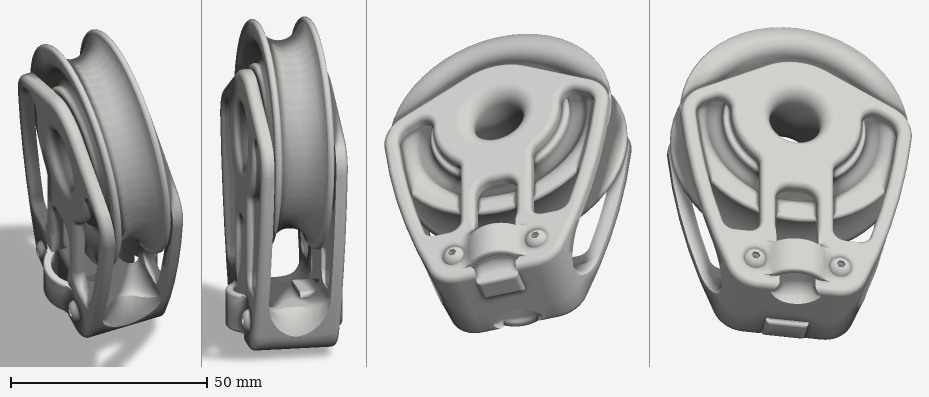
import cadquery as cq
import math

SHEAVE_RADIUS = 29.75
SHEAVE_HALF_WIDTH = 7.65
ROPE_GROOVE_RADIUS = 6.1
ROPE_GROOVE_CENTRE = 30.1
FLANGE_HALF_GAP = 5.9
FLANGE_FLAT_INNER = 27.6
DISH_BEND_RADIUS = 22.4
DISH_INNER_RADIUS = 20.9
DISH_FLOOR_Y = 4.5
HUB_FILLET_RADIUS = 20.0
RACE_RADIUS = 37 / 2
RACE_FACE_RADIUS = 17.6
WASHER_RADIUS = 15.8

BORE_RADIUS = 13.2 / 2
BORE_MOUTH_RADIUS = 10.5

BODY_HALF_WIDTH = 11.2
CHEEK_INNER = 8.0
BODY_BOTTOM = -53.65
APEX_HEIGHT = 19.3
SHOULDER = (30.35, 3.15)
BOTTOM_CORNER_X = 15.5
SIDE_ARC_RADIUS = 156.0
CROWN_ROUND = 16.6
SHOULDER_ROUND = 8.7
BOTTOM_ROUND = 8.2
EDGE_ROUND = 1.5
CORNER_REACH = 1.0

BLOCK_TOP = -41.8
SADDLE_ROUND = 4.0
SCOOP_TOP_X = 14.0
SCOOP_TOP_ANGLE = 45.0
SCOOP_FLOOR_RADIUS = 14.4

WINDOW_BAND = 3.8
WINDOW_DISC_RADIUS = 16.8
STRUT_HALF_WIDTH = 9.45
SIDE_WINDOW_BOTTOM = -36.5
SIDE_WINDOW_ROUND = 3.2

SLOT_HALF_WIDTH = 5.5
CENTRE_WINDOW_TOP = -21.6
CENTRE_WINDOW_ROUND = 4.0
CENTRE_WINDOW_BOTTOM_AXIS = -33.5

STRAP_TOP = -40.35
STRAP_BOTTOM = -50.35
STRAP_AXIS_Y = 6.0
STRAP_OUTER_RADIUS = 9.0
STRAP_INNER_RADIUS = 7.0
STRAP_EDGE_ROUND = 0.7
STRAP_FOOT_X = 9.05
STRAP_ROOT_DEPTH = 1.0
REAR_HOLE_INNER_Y = 4.4
TONGUE_FRONT = -9.2
TONGUE_BACK = -3.1
TONGUE_BOTTOM = -55.05
TONGUE_ROUND = 1.1
TONGUE_EDGE_ROUND = 0.8
TONGUE_TOP_ROUND = 1.5
TONGUE_WIDE_HALF = 6.5
TONGUE_TAPER = 1.3

SCREW_X = 11.05
SCREW_Z = -45.6
SCREW_HEAD_RADIUS = 2.9
SCREW_HEAD_MID_RADIUS = 2.5
SCREW_HEAD_TOP_RADIUS = 1.3
SCREW_HEAD_HEIGHT = 1.55
SCREW_SOCKET_ACROSS_CORNERS = 2.3
SCREW_SOCKET_DEPTH = 0.9
SCREW_SOCKET_POINT = 0.6


def box(x0, x1, y0, y1, z0, z1):
    return cq.Workplane("XY").box(x1 - x0, y1 - y0, z1 - z0, centered=False).translate((x0, y0, z0))


def extruded(outline, y0, y1):
    """Extrude an XZ outline between two Y positions."""
    return outline.extrude(y0 - y1).translate((0, y0, 0))


def disc(radius, half_width):
    return extruded(cq.Workplane("XZ").circle(radius), -half_width, half_width)


def mirrored(solid, plane):
    return solid.union(solid.mirror(plane))


def make_cheek_blank():
    """Cheek outline with rounded corners, across the full width of the body."""
    shoulder_x, shoulder_z = SHOULDER
    outline = (
        cq.Workplane("XZ")
        .moveTo(0, APEX_HEIGHT)
        .lineTo(shoulder_x, shoulder_z)
        .radiusArc((BOTTOM_CORNER_X, BODY_BOTTOM), SIDE_ARC_RADIUS)
        .lineTo(-BOTTOM_CORNER_X, BODY_BOTTOM)
        .radiusArc((-shoulder_x, shoulder_z), SIDE_ARC_RADIUS)
        .close()
    )
    blank = extruded(outline, -BODY_HALF_WIDTH, BODY_HALF_WIDTH)
    blank = blank.edges("|Y").edges(">Z").fillet(CROWN_ROUND)
    blank = blank.edges("|Y").edges("<Z").fillet(BOTTOM_ROUND)
    for corner_x in (-shoulder_x, shoulder_x):
        around_corner = cq.selectors.BoxSelector(
            (corner_x - CORNER_REACH, -BODY_HALF_WIDTH, shoulder_z - CORNER_REACH),
            (corner_x + CORNER_REACH, BODY_HALF_WIDTH, shoulder_z + CORNER_REACH),
        )
        blank = blank.edges(around_corner).fillet(SHOULDER_ROUND)
    return blank


def make_side_window(blank):
    """Left-hand window: a band in from the outline, clear of the axle disc and the strut."""
    inner_wire = blank.faces("<Y").wires().vals()[0].offset2D(-WINDOW_BAND)[0]
    inset = cq.Workplane(cq.Solid.extrudeLinear(inner_wire, [], cq.Vector(0, 2 * BODY_HALF_WIDTH, 0)))
    left_zone = box(-SHOULDER[0], -STRUT_HALF_WIDTH, -BODY_HALF_WIDTH, BODY_HALF_WIDTH,
                    SIDE_WINDOW_BOTTOM, SHOULDER[1] + SHOULDER_ROUND)
    window = inset.intersect(left_zone).cut(disc(WINDOW_DISC_RADIUS, BODY_HALF_WIDTH))
    return window.edges("|Y").fillet(SIDE_WINDOW_ROUND)


def make_centre_window():
    """Window above the straps, square-shouldered at the top and full round at the bottom."""
    window = box(-SLOT_HALF_WIDTH, SLOT_HALF_WIDTH, -BODY_HALF_WIDTH, BODY_HALF_WIDTH,
                 CENTRE_WINDOW_BOTTOM_AXIS, CENTRE_WINDOW_TOP)
    window = window.edges("|Y and >Z").fillet(CENTRE_WINDOW_ROUND)
    bottom = disc(SLOT_HALF_WIDTH, BODY_HALF_WIDTH).translate((0, 0, CENTRE_WINDOW_BOTTOM_AXIS))
    return window.union(bottom)


def make_body():
    blank = make_cheek_blank()
    windows = mirrored(make_side_window(blank), "YZ").union(make_centre_window())
    body = blank.cut(windows)
    body = body.faces("<Y or >Y").edges().fillet(EDGE_ROUND)

    sheave_gap = box(-SHOULDER[0], SHOULDER[0], -CHEEK_INNER, CHEEK_INNER, BLOCK_TOP, APEX_HEIGHT)
    sheave_gap = sheave_gap.edges("|X and <Z").fillet(SADDLE_ROUND)
    return body.cut(sheave_gap).cut(mirrored(make_end_scoop(), "YZ"))


def make_end_scoop():
    """Trough as wide as the sheave gap whose floor curves down over the left end of the base block."""
    angle = math.radians(SCOOP_TOP_ANGLE)
    bend_x = -SCOOP_TOP_X + SCOOP_FLOOR_RADIUS * math.cos(angle)
    bend_z = BLOCK_TOP - SCOOP_FLOOR_RADIUS * math.sin(angle)
    ring = cq.Solid.makeTorus(
        SCOOP_FLOOR_RADIUS + CHEEK_INNER,
        CHEEK_INNER,
        cq.Vector(bend_x, 0, bend_z),
        cq.Vector(0, 1, 0),
    )
    left_side = box(-2 * SHOULDER[0], bend_x, -CHEEK_INNER, CHEEK_INNER, 2 * BODY_BOTTOM, 0)
    return left_side.intersect(cq.Workplane(ring))


def sheave_half_profile():
    """Radius-against-Y outline of the half of the ungrooved sheave with negative Y."""
    rim_round = (SHEAVE_HALF_WIDTH - FLANGE_HALF_GAP) / 2
    rim_start = SHEAVE_RADIUS - rim_round

    dish_share = (FLANGE_FLAT_INNER - DISH_BEND_RADIUS) / (FLANGE_FLAT_INNER - DISH_INNER_RADIUS)
    dish_bend_y = SHEAVE_HALF_WIDTH - dish_share * (SHEAVE_HALF_WIDTH - DISH_FLOOR_Y)
    hub_fillet = HUB_FILLET_RADIUS - RACE_RADIUS
    race_round = RACE_RADIUS - RACE_FACE_RADIUS

    return (
        cq.Workplane("XY")
        .moveTo(0, 0)
        .lineTo(rim_start, 0)
        .lineTo(rim_start, -FLANGE_HALF_GAP)
        .threePointArc(
            (SHEAVE_RADIUS, -(FLANGE_HALF_GAP + rim_round)),
            (rim_start, -SHEAVE_HALF_WIDTH),
        )
        .lineTo(FLANGE_FLAT_INNER, -SHEAVE_HALF_WIDTH)
        .tangentArcPoint((DISH_BEND_RADIUS, -dish_bend_y), relative=False)
        .tangentArcPoint((DISH_INNER_RADIUS, -DISH_FLOOR_Y), relative=False)
        .lineTo(HUB_FILLET_RADIUS, -DISH_FLOOR_Y)
        .tangentArcPoint((RACE_RADIUS, -DISH_FLOOR_Y - hub_fillet), relative=False)
        .lineTo(RACE_RADIUS, -SHEAVE_HALF_WIDTH + race_round)
        .tangentArcPoint((RACE_FACE_RADIUS, -SHEAVE_HALF_WIDTH), relative=False)
        .lineTo(WASHER_RADIUS, -SHEAVE_HALF_WIDTH)
        .lineTo(WASHER_RADIUS, -CHEEK_INNER)
        .lineTo(0, -CHEEK_INNER)
        .close()
    )


def make_sheave():
    half = sheave_half_profile().revolve(360, (0, 0, 0), (0, 1, 0))
    groove_edge = ROPE_GROOVE_CENTRE - math.sqrt(ROPE_GROOVE_RADIUS**2 - FLANGE_HALF_GAP**2)
    groove_floor = ROPE_GROOVE_CENTRE - ROPE_GROOVE_RADIUS
    groove = (
        cq.Workplane("XY")
        .moveTo(SHEAVE_RADIUS, -FLANGE_HALF_GAP)
        .lineTo(groove_edge, -FLANGE_HALF_GAP)
        .threePointArc((groove_floor, 0), (groove_edge, FLANGE_HALF_GAP))
        .lineTo(SHEAVE_RADIUS, FLANGE_HALF_GAP)
        .close()
        .revolve(360, (0, 0, 0), (0, 1, 0))
    )
    return mirrored(half, "XZ").cut(groove)


def make_axle_bore():
    """Through bore with a mouth that flares in a quarter round at each cheek face."""
    flare = BORE_MOUTH_RADIUS - BORE_RADIUS
    half = (
        cq.Workplane("XY")
        .lineTo(BORE_RADIUS, 0)
        .lineTo(BORE_RADIUS, -BODY_HALF_WIDTH + flare)
        .radiusArc((BORE_MOUTH_RADIUS, -BODY_HALF_WIDTH), -flare)
        .lineTo(0, -BODY_HALF_WIDTH)
        .close()
        .revolve(360, (0, 0, 0), (0, 1, 0))
    )
    return mirrored(half, "XZ")


def tongue_outline(bottom):
    """Tongue silhouette: slightly wider between the strap edges than above and below."""
    narrow = SLOT_HALF_WIDTH
    wide = TONGUE_WIDE_HALF
    return (
        cq.Workplane("XZ")
        .moveTo(narrow, bottom)
        .lineTo(narrow, STRAP_BOTTOM - TONGUE_TAPER)
        .lineTo(wide, STRAP_BOTTOM)
        .lineTo(wide, STRAP_TOP - TONGUE_TAPER)
        .lineTo(narrow, STRAP_TOP)
        .lineTo(-narrow, STRAP_TOP)
        .lineTo(-wide, STRAP_TOP - TONGUE_TAPER)
        .lineTo(-wide, STRAP_BOTTOM)
        .lineTo(-narrow, STRAP_BOTTOM - TONGUE_TAPER)
        .lineTo(-narrow, bottom)
        .close()
    )


def make_tongue():
    """Tongue silhouette crossed with a side profile that has rounded bottom and top front edges."""
    front_shape = extruded(tongue_outline(TONGUE_BOTTOM), TONGUE_FRONT, TONGUE_BACK)
    front_shape = front_shape.edges("|Y and <Z").fillet(TONGUE_ROUND)
    side_shape = box(-TONGUE_WIDE_HALF, TONGUE_WIDE_HALF, TONGUE_FRONT, TONGUE_BACK,
                     TONGUE_BOTTOM, STRAP_TOP)
    side_shape = side_shape.edges("|X and <Z").fillet(TONGUE_EDGE_ROUND)
    side_shape = side_shape.faces(">Z").edges("<Y").fillet(TONGUE_TOP_ROUND)
    return front_shape.intersect(side_shape)


def make_tongue_slot():
    """Opening in the front of the base block that holds the tongue and leaves its face uncovered."""
    return extruded(tongue_outline(BODY_BOTTOM), -BODY_HALF_WIDTH, TONGUE_BACK)


def make_rear_hole():
    """Lens-shaped hole down through the base block behind the rear strap."""
    height = BLOCK_TOP + SADDLE_ROUND - BODY_BOTTOM
    base = cq.Workplane("XY", origin=(0, 0, BODY_BOTTOM))
    outer = base.center(0, STRAP_AXIS_Y).circle(STRAP_INNER_RADIUS).extrude(height)
    inner_axis_y = REAR_HOLE_INNER_Y + STRAP_INNER_RADIUS
    inner = base.center(0, inner_axis_y).circle(STRAP_INNER_RADIUS).extrude(height)
    return outer.intersect(inner)


def make_window_throat():
    """Straight part of the centre window, from its rounded end down to the straps."""
    return box(-SLOT_HALF_WIDTH, SLOT_HALF_WIDTH, -BODY_HALF_WIDTH, BODY_HALF_WIDTH,
               STRAP_TOP, CENTRE_WINDOW_BOTTOM_AXIS)


def make_front_strap():
    """Bowed strap with rounded edges and concave feet that blend into the cheek face."""
    height = STRAP_TOP - STRAP_BOTTOM
    ring = (
        cq.Workplane("XY", origin=(0, -STRAP_AXIS_Y, STRAP_BOTTOM))
        .circle(STRAP_OUTER_RADIUS)
        .circle(STRAP_INNER_RADIUS)
        .extrude(height)
    )
    ring = ring.edges().fillet(STRAP_EDGE_ROUND)

    face_offset = BODY_HALF_WIDTH - STRAP_AXIS_Y
    foot_radius = (STRAP_FOOT_X**2 + face_offset**2 - STRAP_OUTER_RADIUS**2) / (
        2 * (STRAP_OUTER_RADIUS - face_offset)
    )
    centre_y = -BODY_HALF_WIDTH - foot_radius
    reach = STRAP_OUTER_RADIUS / (STRAP_OUTER_RADIUS + foot_radius)
    touch = (STRAP_FOOT_X * reach, -STRAP_AXIS_Y + (centre_y + STRAP_AXIS_Y) * reach)
    inner_x = math.sqrt((STRAP_INNER_RADIUS + STRAP_EDGE_ROUND) ** 2 - face_offset**2)
    foot = (
        cq.Workplane("XY", origin=(0, 0, STRAP_BOTTOM))
        .moveTo(STRAP_FOOT_X, -BODY_HALF_WIDTH)
        .radiusArc(touch, -foot_radius)
        .lineTo(inner_x, -BODY_HALF_WIDTH)
        .close()
        .extrude(height)
    )
    outside = box(-STRAP_FOOT_X, STRAP_FOOT_X, -2 * BODY_HALF_WIDTH, -BODY_HALF_WIDTH + STRAP_ROOT_DEPTH,
                  STRAP_BOTTOM, STRAP_TOP)
    return ring.intersect(outside).union(mirrored(foot, "YZ"))


def make_front_screw(x):
    """Domed screw head on the front cheek face, with a hexagon socket."""
    dome_point = (SCREW_HEAD_MID_RADIUS, -SCREW_HEAD_HEIGHT / 2)
    head = (
        cq.Workplane("XY")
        .lineTo(SCREW_HEAD_RADIUS, 0)
        .threePointArc(dome_point, (SCREW_HEAD_TOP_RADIUS, -SCREW_HEAD_HEIGHT))
        .lineTo(0, -SCREW_HEAD_HEIGHT)
        .close()
        .revolve(360, (0, 0, 0), (0, 1, 0))
    )
    floor_y = -SCREW_HEAD_HEIGHT + SCREW_SOCKET_DEPTH
    socket = extruded(
        cq.Workplane("XZ").polygon(6, SCREW_SOCKET_ACROSS_CORNERS),
        -SCREW_HEAD_HEIGHT,
        floor_y,
    )
    point_radius = SCREW_SOCKET_ACROSS_CORNERS / 2 * math.cos(math.pi / 6)
    point = (
        cq.Workplane("XY")
        .moveTo(0, floor_y)
        .lineTo(point_radius, floor_y)
        .lineTo(0, floor_y + SCREW_SOCKET_POINT)
        .close()
        .revolve(360, (0, 0, 0), (0, 1, 0))
    )
    return head.cut(socket).cut(point).translate((x, -BODY_HALF_WIDTH, SCREW_Z))


def make_part():
    part = make_body().union(make_sheave()).cut(make_axle_bore())
    part = part.cut(make_window_throat()).cut(make_tongue_slot()).cut(make_rear_hole())
    part = part.union(make_tongue())
    part = part.union(mirrored(make_front_strap(), "XZ"))
    for x in (-SCREW_X, SCREW_X):
        part = part.union(mirrored(make_front_screw(x), "XZ"))
    return part


result = make_part()